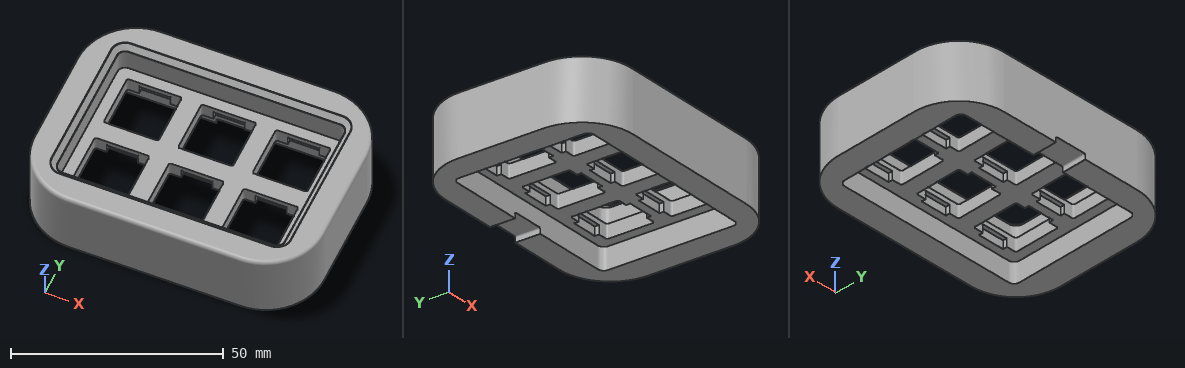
import cadquery as cq

columns = 3
rows = 2
pitch = 19.05
key_size = 14.0
key_corner_radius = 0.5

length = 74.15
wall_margin = length - columns * pitch
width = rows * pitch + wall_margin
height = 17.95
corner_radius = 15.0
top_fillet = 1.05

clearance = 1.0
recess_length = columns * pitch + clearance
recess_width = rows * pitch + clearance
recess_radius = 2.0
plate_top = 10.3

rim_reach = 1.5
rim_step = 0.11

plate_thickness = 4.0
plate_bottom = plate_top - plate_thickness
cavity_extra_width = 1.2
cavity_width = recess_width + cavity_extra_width
cavity_radius = 1.8

notch_length = 8.0
notch_depth = 1.25
clip_lip = 1.5

port_width = 9.8
port_height = 1.6
port_radius = 0.5


def rounded_block(size_x, size_y, radius, bottom, top):
    """Upright block centred on the Z axis with rounded vertical edges."""
    block = cq.Workplane("XY").workplane(offset=bottom).rect(size_x, size_y).extrude(top - bottom)
    return block.edges("|Z").fillet(radius)


def recess_outline(growth, z):
    """Outline of the recess, grown outward by a distance and placed at a height."""
    outline = cq.Sketch().rect(recess_length + 2 * growth, recess_width + 2 * growth)
    return outline.vertices().fillet(recess_radius + growth).moved(cq.Location(cq.Vector(0, 0, z)))


def make_body():
    body = rounded_block(length, width, corner_radius, 0, height)
    return body.faces(">Z").edges().fillet(top_fillet)


def cut_recess(body):
    recess = rounded_block(recess_length, recess_width, recess_radius, plate_top, height)
    foot = recess_outline(rim_step, height - rim_reach)
    brow = recess_outline(rim_reach, height - rim_step)
    slope = cq.Workplane("XY").placeSketch(foot, brow).loft()
    mouth = cq.Workplane("XY").placeSketch(recess_outline(rim_reach + rim_step, height - rim_step))
    return body.cut(recess).cut(slope).cut(mouth.extrude(rim_step))


def cut_cavity(body):
    return body.cut(rounded_block(recess_length, cavity_width, cavity_radius, 0, plate_bottom))


def make_key_cutter():
    """Square opening through the plate, widened below the lip by two clip notches."""
    opening = rounded_block(key_size, key_size, key_corner_radius, plate_bottom, plate_top)
    notches = (
        cq.Workplane("XY")
        .workplane(offset=plate_bottom)
        .rect(notch_length, key_size + 2 * notch_depth)
        .extrude(plate_thickness - clip_lip)
    )
    return opening.union(notches)


def cut_keys(body):
    cutter = make_key_cutter()
    for column in range(columns):
        for row in range(rows):
            x = (column - (columns - 1) / 2) * pitch
            y = (row - (rows - 1) / 2) * pitch
            body = body.cut(cutter.translate((x, y, 0)))
    return body


def cut_port(body):
    port = cq.Workplane("XY").box(port_width, width / 2, port_height, centered=(True, False, False))
    port = port.edges("|Y and >Z").fillet(port_radius)
    return body.cut(port)


result = make_body()
result = cut_recess(result)
result = cut_cavity(result)
result = cut_keys(result)
result = cut_port(result)